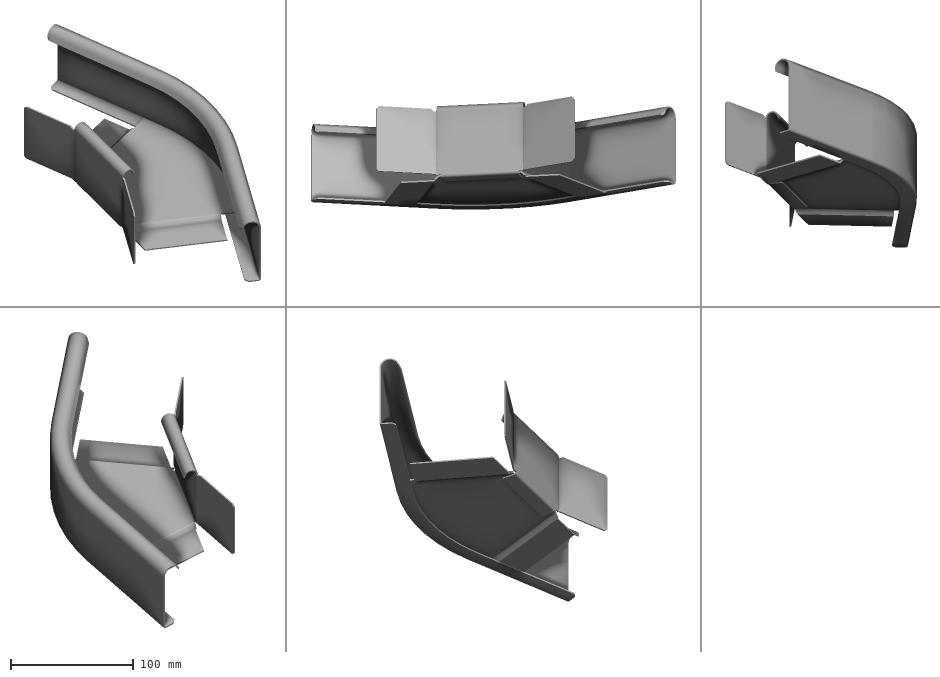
import cadquery as cq
import math


SHEET = 1.25
LEG_ANGLE = 22.5
FLANGE_BOTTOM = 2 * SHEET
FLANGE_WIDTH = 13.5
BEND_RADIUS = 1.0
BEND_OUTSIDE = BEND_RADIUS + SHEET
BASE_BOTTOM = FLANGE_BOTTOM + SHEET
BASE_TOP = BASE_BOTTOM + SHEET

OUTER_RADIUS = 147.7
LEG_END_X = 152.0
OUTER_TOP = 67.0
OUTER_ROLL_RADIUS = 8.2
OUTER_LIP_TILT = 30.0
OUTER_LIP_LENGTH = 5.0
LIP_CHAMFER = 4.0
FLANGE_CHAMFER = 3.0

INNER_FACE_Y = 37.0
INNER_HALF_LENGTH = 36.2
INNER_TOP = 64.0
INNER_ROLL_RADIUS = 5.8
INNER_LIP_TILT = 20.0
INNER_LIP_LENGTH = 3.3
TAB_TIP_X = 82.5
TAB_BOTTOM = 5.5
TAB_TOP = 60.5
TAB_CHAMFER = 2.5
TAB_RELIEF = 1.8
FLANGE_HALF_LENGTH = 32.2

PLATE_INSET = 2.7
STEP_INSET = 1.8
BASE_INNER_Y = INNER_FACE_Y + PLATE_INSET
STEP_INNER_Y = INNER_FACE_Y + STEP_INSET
STEP_START = 16.5
STEP_ANGLE = 45.0
STEP_BEND_RADIUS = 0.3
TONGUE_END = 45.5
TONGUE_OUTER_RADIUS = 130.5

ANGLE = math.radians(LEG_ANGLE)
SIN, COS = math.sin(ANGLE), math.cos(ANGLE)
LEG_LENGTH = (LEG_END_X - OUTER_RADIUS * SIN) / COS


def leg_point(along, radial):
    """Plan position on the right leg: distance along it and distance from the bend centre."""
    return (radial * SIN + along * COS, radial * COS - along * SIN)


def with_mirror(shape):
    """The shape on the right joined with its copy on the left."""
    return shape.union(shape.mirror("YZ"))


def wall_profile(plane, top, roll_radius, lip_tilt, lip_length):
    """Section of a wall: local x runs inward from the outer face, local y is height."""
    tilt = math.radians(lip_tilt)
    centre_y = top - roll_radius
    inside_radius = roll_radius - SHEET
    bend_y = FLANGE_BOTTOM + BEND_OUTSIDE

    def on_roll(radius):
        return (roll_radius + radius * math.cos(tilt), centre_y + radius * math.sin(tilt))

    def lip_end(radius):
        x, y = on_roll(radius)
        return (x + lip_length * math.sin(tilt), y - lip_length * math.cos(tilt))

    def on_bend(radius):
        return (BEND_OUTSIDE - radius * math.sqrt(0.5), bend_y - radius * math.sqrt(0.5))

    return (
        cq.Workplane(plane)
        .moveTo(0, bend_y)
        .lineTo(0, centre_y)
        .threePointArc((roll_radius, top), on_roll(roll_radius))
        .lineTo(*lip_end(roll_radius))
        .lineTo(*lip_end(inside_radius))
        .lineTo(*on_roll(inside_radius))
        .threePointArc((roll_radius, top - SHEET), (SHEET, centre_y))
        .lineTo(SHEET, bend_y)
        .threePointArc(on_bend(BEND_RADIUS), (BEND_OUTSIDE, BASE_BOTTOM))
        .lineTo(FLANGE_WIDTH, BASE_BOTTOM)
        .lineTo(FLANGE_WIDTH, FLANGE_BOTTOM)
        .lineTo(BEND_OUTSIDE, FLANGE_BOTTOM)
        .threePointArc(on_bend(BEND_OUTSIDE), (0, bend_y))
        .close()
    )


def end_corner_cutter(along, depth, inner_edge, bottom, top):
    """Diamond prism that takes a corner of size along x depth off a strip at the right leg's end."""
    edge_radius = OUTER_RADIUS - inner_edge
    return (
        cq.Workplane("XY")
        .workplane(offset=bottom)
        .polyline([
            leg_point(LEG_LENGTH - along, edge_radius),
            leg_point(LEG_LENGTH, edge_radius + depth),
            leg_point(LEG_LENGTH + along, edge_radius),
            leg_point(LEG_LENGTH, edge_radius - depth),
        ])
        .close()
        .extrude(top - bottom)
    )


def make_outer_wall():
    section = (OUTER_TOP, OUTER_ROLL_RADIUS, OUTER_LIP_TILT, OUTER_LIP_LENGTH)
    leg_plane = cq.Plane(
        origin=(*leg_point(0, OUTER_RADIUS), 0), xDir=(-SIN, -COS, 0), normal=(-COS, SIN, 0)
    )
    leg = wall_profile(leg_plane, *section).extrude(-LEG_LENGTH)
    curve = wall_profile(leg_plane, *section).revolve(
        2 * LEG_ANGLE, (OUTER_RADIUS, 0), (OUTER_RADIUS, 1)
    )
    tilt = math.radians(OUTER_LIP_TILT)
    lip_edge = OUTER_ROLL_RADIUS * (1 + math.cos(tilt)) + OUTER_LIP_LENGTH * math.sin(tilt)
    lip_depth = LIP_CHAMFER * math.sin(tilt)
    lip_cutter = end_corner_cutter(LIP_CHAMFER, lip_depth, lip_edge, BASE_TOP, OUTER_TOP)
    flange_cutter = end_corner_cutter(FLANGE_CHAMFER, FLANGE_CHAMFER, FLANGE_WIDTH, 0, BASE_TOP)
    leg = leg.cut(lip_cutter).cut(flange_cutter)
    return curve.union(with_mirror(leg))


def make_tab():
    """Right coupling tab of the inner wall, mitred to the wall and bent along the leg."""
    length = (TAB_TIP_X - INNER_HALF_LENGTH) / COS
    tip_y = INNER_FACE_Y - length * SIN
    plan = (
        cq.Workplane("XY")
        .polyline([
            (INNER_HALF_LENGTH, INNER_FACE_Y),
            (TAB_TIP_X, tip_y),
            (TAB_TIP_X + SHEET * SIN, tip_y + SHEET * COS),
            (INNER_HALF_LENGTH + SHEET * math.tan(ANGLE / 2), INNER_FACE_Y + SHEET),
            (INNER_HALF_LENGTH, INNER_FACE_Y + SHEET),
        ])
        .close()
        .extrude(TAB_TOP)
    )
    tip = TAB_TIP_X + SHEET * SIN
    relief_end = INNER_HALF_LENGTH + TAB_RELIEF
    roll_start = INNER_TOP - INNER_ROLL_RADIUS
    outline = (
        cq.Workplane("XZ")
        .polyline([
            (INNER_HALF_LENGTH, TAB_BOTTOM),
            (tip - TAB_CHAMFER, TAB_BOTTOM),
            (tip, TAB_BOTTOM + TAB_CHAMFER),
            (tip, TAB_TOP - TAB_CHAMFER),
            (tip - TAB_CHAMFER, TAB_TOP),
            (relief_end + TAB_TOP - roll_start, TAB_TOP),
            (relief_end, roll_start),
            (INNER_HALF_LENGTH, roll_start),
        ])
        .close()
        .extrude(-(INNER_FACE_Y + SHEET))
    )
    return plan.intersect(outline)


def make_inner_wall():
    section_plane = cq.Plane(origin=(0, INNER_FACE_Y, 0), xDir=(0, 1, 0), normal=(1, 0, 0))
    section = (INNER_TOP, INNER_ROLL_RADIUS, INNER_LIP_TILT, INNER_LIP_LENGTH)
    wall = wall_profile(section_plane, *section).extrude(INNER_HALF_LENGTH, both=True)
    bend_top = FLANGE_BOTTOM + BEND_OUTSIDE
    flange_relief = cq.Workplane("XY").box(
        INNER_HALF_LENGTH - FLANGE_HALF_LENGTH, FLANGE_WIDTH, bend_top, centered=False
    ).translate((FLANGE_HALF_LENGTH, INNER_FACE_Y, 0))
    return wall.cut(with_mirror(flange_relief)).union(with_mirror(make_tab()))


def make_base():
    edge_radius = OUTER_RADIUS - BEND_OUTSIDE
    inner_corner_x = (STEP_START + BASE_INNER_Y * SIN) / COS
    curve_end = leg_point(0, edge_radius)
    side_corner = leg_point(STEP_START, edge_radius)
    plate = (
        cq.Workplane("XY")
        .workplane(offset=BASE_BOTTOM)
        .moveTo(-inner_corner_x, BASE_INNER_Y)
        .lineTo(inner_corner_x, BASE_INNER_Y)
        .lineTo(*side_corner)
        .lineTo(*curve_end)
        .threePointArc((0, edge_radius), (-curve_end[0], curve_end[1]))
        .lineTo(-side_corner[0], side_corner[1])
        .close()
        .extrude(SHEET)
    )
    step_angle = math.radians(STEP_ANGLE)
    step_sin, step_cos = math.sin(step_angle), math.cos(step_angle)
    bend_outside = STEP_BEND_RADIUS + SHEET
    bend_y = BASE_TOP - bend_outside

    def on_bend(radius, angle):
        return (STEP_START + radius * math.sin(angle), bend_y + radius * math.cos(angle))

    def slope_foot(radius, height):
        x, y = on_bend(radius, step_angle)
        return (x + (y - height) * step_cos / step_sin, height)

    tongue_plane = cq.Plane(
        origin=(*leg_point(0, TONGUE_OUTER_RADIUS), 0), xDir=(COS, -SIN, 0), normal=(-SIN, -COS, 0)
    )
    tongue = (
        cq.Workplane(tongue_plane)
        .moveTo(*on_bend(bend_outside, 0))
        .threePointArc(on_bend(bend_outside, step_angle / 2), on_bend(bend_outside, step_angle))
        .lineTo(*slope_foot(bend_outside, SHEET))
        .lineTo(TONGUE_END, SHEET)
        .lineTo(TONGUE_END, 0)
        .lineTo(*slope_foot(STEP_BEND_RADIUS, 0))
        .lineTo(*on_bend(STEP_BEND_RADIUS, step_angle))
        .threePointArc(on_bend(STEP_BEND_RADIUS, step_angle / 2), on_bend(STEP_BEND_RADIUS, 0))
        .close()
        .extrude(TONGUE_OUTER_RADIUS)
    )
    beside_step = cq.Workplane("XY").box(LEG_END_X * 2, STEP_INNER_Y * 2, BASE_TOP * 2)
    beside_tongue = cq.Workplane("XY").box(LEG_END_X * 2, BASE_INNER_Y * 2, SHEET * 2)
    tongue = tongue.cut(beside_step).cut(beside_tongue)
    return plate.union(with_mirror(tongue))


outer_wall = make_outer_wall()
inner_wall = make_inner_wall()
base = make_base()

result = cq.Compound.makeCompound([
    outer_wall.solids().val(),
    inner_wall.solids().val(),
    base.solids().val(),
])